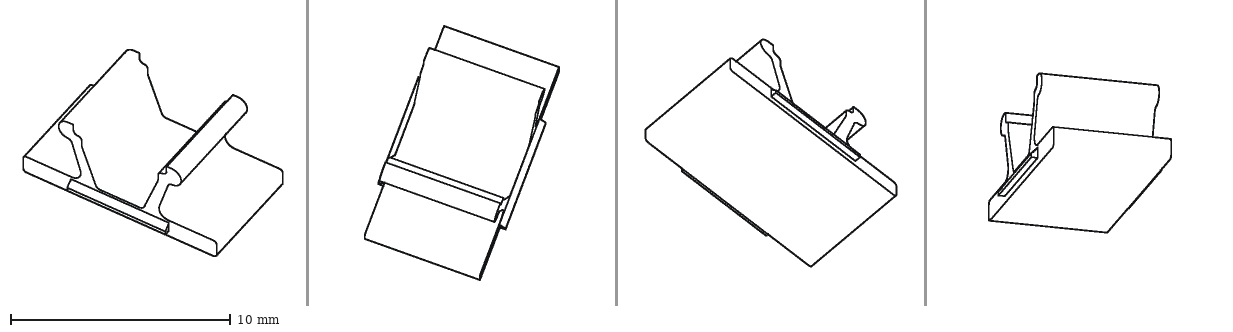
import cadquery as cq

base_length = 10.5
base_depth = 5.59
base_height = 1.0
base_corner_radius = 0.2

total_height = 4.37
head_radius = 0.5
head_center_x = 2.81
head_bottom = total_height - 2 * head_radius
head_inner_x = 2.52
neck_outer_x = 2.66
root_outer_x = 1.94
root_inner_x = 1.25
lip_top = 3.79
lip_bottom = 3.23

small_radius = 0.25
large_radius = 2 * small_radius
head_edge_radius = 0.05
lip_radius = 0.2
groove_end_x = head_inner_x - small_radius
lip_x = groove_end_x - lip_radius

total_depth = 6.2
ridge_length = 5.31
ridge_bottom = 0.35
ridge_nose_top = 0.55
ridge_top = 0.85


def make_base():
    plate = cq.Workplane("XY").box(base_length, base_depth, base_height, centered=(True, True, False))
    return plate.edges("|Y").fillet(base_corner_radius)


def make_arm():
    """Arm on the +X side, before its corners are rounded, resting on the base."""
    return (
        cq.Workplane("XZ")
        .moveTo(root_inner_x, base_height)
        .lineTo(lip_x, lip_bottom)
        .lineTo(lip_x, lip_top - lip_radius)
        .tangentArcPoint((groove_end_x, lip_top), relative=False)
        .tangentArcPoint((head_inner_x, lip_top + small_radius), relative=False)
        .lineTo(head_inner_x, total_height)
        .lineTo(head_center_x, total_height)
        .threePointArc(
            (head_center_x + head_radius, total_height - head_radius),
            (head_center_x, head_bottom),
        )
        .lineTo(neck_outer_x, head_bottom)
        .lineTo(root_outer_x, base_height)
        .close()
        .extrude(base_depth / 2, both=True)
    )


def round_arm_corners(body, side):
    """Round the lengthwise edges of one arm; side is +1 or -1 along X."""
    corners = [
        (neck_outer_x, head_bottom, small_radius),
        (head_inner_x, total_height, head_edge_radius),
        (lip_x, lip_bottom, large_radius),
        (root_outer_x, base_height, large_radius),
        (root_inner_x, base_height, small_radius),
    ]
    for x, z, radius in corners:
        corner = cq.selectors.NearestToPointSelector((side * x, 0, z))
        body = body.edges("|Y").edges(corner).fillet(radius)
    return body


def make_ridges():
    """One bar through the base whose two ends form the sloped ridges."""
    return (
        cq.Workplane("YZ")
        .moveTo(-total_depth / 2, ridge_bottom)
        .lineTo(total_depth / 2, ridge_bottom)
        .lineTo(total_depth / 2, ridge_nose_top)
        .lineTo(base_depth / 2, ridge_top)
        .lineTo(-base_depth / 2, ridge_top)
        .lineTo(-total_depth / 2, ridge_nose_top)
        .close()
        .extrude(ridge_length / 2, both=True)
    )


arm = make_arm()
clip = make_base().union(arm).union(arm.mirror("YZ"))
for arm_side in (1, -1):
    clip = round_arm_corners(clip, arm_side)

result = clip.union(make_ridges())